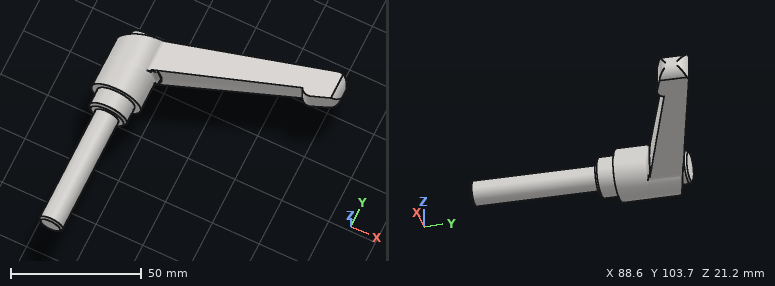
import cadquery as cq
import math


rod_radius = 10.1 / 2
rod_end_y = -58.1
rod_chamfer = 0.8
sleeve_radius = 16.1 / 2
sleeve_length = 8.0
sleeve_chamfer = 0.9

collar_radius = 10.6
collar_height = 11.8
hub_radius = collar_radius - 0.05
hub_start_y = 12.8
hub_low_top_y = 21.8
button_radius = 6.5
button_top_y = 28.0
button_chamfer = 0.8

top_slope = math.tan(math.radians(15.9))
arm_tip_x = 78.0
tip_top_radius = 4.3
tip_bottom_radius = 3.8
underside_root = (11.5, 14.6)
grip_start = (63.5, 33.4)
grip_low = (66.8, 31.4)
grip_line_start = (67.7, 31.6)
tip_corner_y = 35.6
arm_root_x = 8.4
arm_root_half_width = 7.5
arm_end_x = 75.1
arm_end_half_width = 5.1
blend_start = (6.6, 8.1)
blend_middle = (7.5, 7.7)
ridge_height = 0.6

cove_radius = 12.4
cove_bottom_y = hub_start_y
cove_top_y = 14.8

arm_depth = 2 * collar_radius


def top_y(x):
    """Height of the common sloping top of hub and arm."""
    return hub_low_top_y + top_slope * (x + collar_radius)


def underside_y(x):
    """Height of the middle of the arm underside, between root and finger bump."""
    root_x, root_y = underside_root
    grip_x, grip_y = grip_start
    return root_y + (grip_y - root_y) * (x - root_x) / (grip_x - root_x)


def cylinder(radius, start_y, end_y):
    """Cylinder on the clamping axis."""
    return (
        cq.Workplane("XZ", origin=(0, end_y, 0))
        .circle(radius)
        .extrude(end_y - start_y)
    )


def make_stud():
    rod = cylinder(rod_radius, rod_end_y, 0).faces("<Y").chamfer(rod_chamfer)
    sleeve = cylinder(sleeve_radius, -sleeve_length, 0).faces("<Y").chamfer(sleeve_chamfer)
    return rod.union(sleeve)


def make_hub():
    peak_y = top_y(collar_radius)
    body = (
        cq.Workplane("XY")
        .polyline([
            (0, 0),
            (collar_radius, 0),
            (collar_radius, collar_height),
            (hub_radius, hub_start_y),
            (hub_radius, peak_y),
            (0, peak_y),
        ])
        .close()
        .revolve(360, (0, 0, 0), (0, 1, 0))
    )
    side_profile = (
        cq.Workplane("XY", origin=(0, 0, -collar_radius))
        .polyline([
            (-collar_radius, 0),
            (collar_radius, 0),
            (collar_radius, peak_y),
            (-collar_radius, hub_low_top_y),
        ])
        .close()
        .extrude(2 * collar_radius)
    )
    return body.intersect(side_profile)


def make_button():
    return cylinder(button_radius, 0, button_top_y).faces(">Y").chamfer(button_chamfer)


def make_arm_plan():
    """Straight root, tapered sides and an arched tip, extruded along the clamping axis."""
    blend_start_x, blend_half_width = blend_start
    blend_x, blend_z = blend_middle
    plan_height = top_y(arm_tip_x)
    return (
        cq.Workplane("XZ", origin=(0, plan_height, 0))
        .moveTo(0, -blend_half_width)
        .lineTo(blend_start_x, -blend_half_width)
        .threePointArc((blend_x, -blend_z), (arm_root_x, -arm_root_half_width))
        .lineTo(arm_end_x, -arm_end_half_width)
        .threePointArc((arm_tip_x, 0), (arm_end_x, arm_end_half_width))
        .lineTo(arm_root_x, arm_root_half_width)
        .threePointArc((blend_x, blend_z), (blend_start_x, blend_half_width))
        .lineTo(0, blend_half_width)
        .close()
        .extrude(plan_height)
    )


def make_arm(plan):
    profile = (
        cq.Workplane("XY", origin=(0, 0, -arm_depth / 2))
        .moveTo(0, underside_y(0))
        .lineTo(*grip_start)
        .threePointArc(grip_low, grip_line_start)
        .lineTo(arm_tip_x, tip_corner_y)
        .lineTo(arm_tip_x, top_y(arm_tip_x))
        .lineTo(0, top_y(0))
        .close()
        .extrude(arm_depth)
    )
    profile = profile.edges("|Z").edges(">X").edges(">Y").fillet(tip_top_radius)
    profile = profile.edges("|Z").edges(">X").edges("<Y").fillet(tip_bottom_radius)
    return profile.intersect(plan)


def make_underside_wedge(side):
    """Tapering wedge that slopes one half of the underside up from its middle line."""
    edge_z = side * arm_root_half_width
    tip_x, tip_y = grip_start
    middle = cq.Vector(arm_root_x, underside_y(arm_root_x), 0)
    lower_edge = cq.Vector(arm_root_x, underside_y(arm_root_x), edge_z)
    upper_edge = cq.Vector(arm_root_x, underside_y(arm_root_x) + ridge_height, edge_z)
    tip_middle = cq.Vector(tip_x, tip_y, 0)
    tip_edge = cq.Vector(tip_x, tip_y, edge_z)
    outlines = [
        [middle, lower_edge, upper_edge],
        [lower_edge, upper_edge, tip_edge],
        [middle, lower_edge, tip_edge, tip_middle],
    ]
    faces = [
        cq.Face.makeFromWires(cq.Wire.makePolygon(outline, close=True))
        for outline in outlines
    ]
    twisted_face = cq.Face.makeRuledSurface(
        cq.Edge.makeLine(middle, upper_edge),
        cq.Edge.makeLine(tip_middle, tip_edge),
    )
    return cq.Workplane(cq.Solid.makeSolid(cq.Shell.makeShell(faces + [twisted_face])))


def make_cove(plan):
    """Ring-shaped concave blend, kept only within the arm width."""
    ring_width = cove_radius - hub_radius
    ring_height = cove_top_y - cove_bottom_y
    diagonal = math.sqrt(0.5)
    ring = (
        cq.Workplane("XY")
        .moveTo(0, cove_bottom_y)
        .lineTo(hub_radius, cove_bottom_y)
        .threePointArc(
            (cove_radius - ring_width * diagonal, cove_bottom_y + ring_height * diagonal),
            (cove_radius, cove_top_y),
        )
        .lineTo(0, cove_top_y)
        .close()
        .revolve(360, (0, 0, 0), (0, 1, 0))
    )
    return ring.intersect(plan)


arm_plan = make_arm_plan()
arm = make_arm(arm_plan)
for side in (-1, 1):
    arm = arm.cut(make_underside_wedge(side))

result = (
    make_hub()
    .union(arm)
    .union(make_cove(arm_plan))
    .union(make_button())
    .union(make_stud())
)